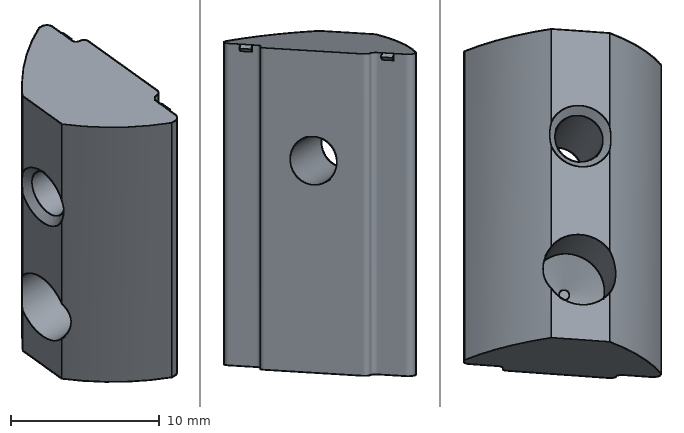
import cadquery as cq
import math

length = 22.0
width = 13.5
depth = 7.2
front_flat_width = 4.0
flank_radius = 16.5
shoulder_side_height = 0.77
shoulder_corner_radius = 0.5
rib_width = 7.79
rib_height = 0.8
rib_radius = rib_height / 2

through_z = 14.5
through_diameter = 3.3
countersink_diameter = 4.35
countersink_depth = (countersink_diameter - through_diameter) / 2

pocket_z = 5.0
pocket_diameter = 5.0
pocket_wall_depth = 4.0
pocket_tip_diameter = 0.7
pocket_cone_angle = 120.0

ridge_width = 0.84
ridge_height = 0.29
ridge_length = 0.48
ridge_center_x = 5.02
ridge_center_z = length - 0.25

front_y = 0.0
shoulder_y = depth - rib_height


def make_body():
    """Half section with its flank, shoulder and rib, mirrored about X = 0."""
    side = width / 2
    rib_side = rib_width / 2
    half = (
        cq.Workplane("XY")
        .moveTo(0, front_y)
        .lineTo(front_flat_width / 2, front_y)
        .radiusArc((side, shoulder_y - shoulder_side_height), -flank_radius)
        .lineTo(side, shoulder_y - shoulder_corner_radius)
        .radiusArc((side - shoulder_corner_radius, shoulder_y), -shoulder_corner_radius)
        .lineTo(rib_side + rib_radius, shoulder_y)
        .radiusArc((rib_side, shoulder_y + rib_radius), rib_radius)
        .radiusArc((rib_side - rib_radius, depth), -rib_radius)
        .lineTo(0, depth)
        .close()
        .extrude(length)
    )
    return half.union(half.mirror("YZ"))


def revolve_along_y(half_section, z):
    """Solid of revolution about the Y-parallel axis at X = 0 and height z."""
    return (
        cq.Workplane("XY")
        .polyline(half_section)
        .close()
        .revolve(360, (0, 0), (0, 1))
        .translate((0, 0, z))
    )


def make_through_hole():
    radius = through_diameter / 2
    section = [
        (0, front_y),
        (countersink_diameter / 2, front_y),
        (radius, countersink_depth),
        (radius, depth),
        (0, depth),
    ]
    return revolve_along_y(section, through_z)


def make_pocket():
    radius = pocket_diameter / 2
    tip_radius = pocket_tip_diameter / 2
    cone_depth = (radius - tip_radius) / math.tan(math.radians(pocket_cone_angle / 2))
    bottom = pocket_wall_depth + cone_depth
    section = [
        (0, front_y),
        (radius, front_y),
        (radius, pocket_wall_depth),
        (tip_radius, bottom),
        (0, bottom),
    ]
    return revolve_along_y(section, pocket_z)


def make_ridge(center_x):
    """Triangular ridge whose edge runs along X."""
    return (
        cq.Workplane("YZ", origin=(center_x - ridge_width / 2, shoulder_y, ridge_center_z))
        .polyline([(0, -ridge_length / 2), (ridge_height, 0), (0, ridge_length / 2)])
        .close()
        .extrude(ridge_width)
    )


result = make_body().cut(make_through_hole()).cut(make_pocket())
for direction in (-1, 1):
    result = result.union(make_ridge(direction * ridge_center_x))

result = result.translate((0, -depth / 2, -length / 2))